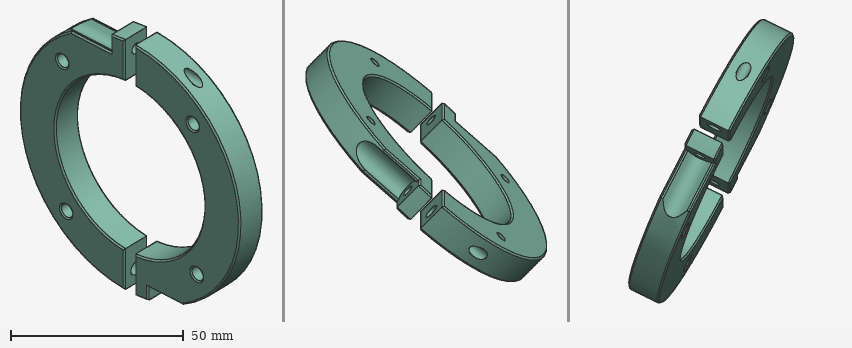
import cadquery as cq
import math


outer_radius = 43.55
inner_radius = 29.35
thickness = 10.0
half_gap = 2.0
edge_chamfer = 0.5

screw_height = 38.2
screw_diameter = 3.5
lug_thickness = 5.3
left_flat_height = 36.85
right_flat_height = screw_height
head_groove_radius = 3.75

insert_diameter = 4.4
insert_depth = 6.0
insert_lead_in = 0.4
mount_hole_diameter = 3.2
mount_circle_radius = (outer_radius + inner_radius) / 2
mount_tilt = 1.75

lug_outer_x = half_gap + lug_thickness
oversize = outer_radius * 2


def block(x_range, z_range):
    """Box spanning the given X and Z ranges, centred on Y and longer than the ring thickness."""
    size_x = x_range[1] - x_range[0]
    size_z = z_range[1] - z_range[0]
    return cq.Workplane("XY").box(size_x, oversize, size_z).translate(
        (x_range[0] + size_x / 2, 0, z_range[0] + size_z / 2)
    )


def rod_along_x(radius, x_start, x_end):
    """Cylinder on the upper screw axis."""
    return (
        cq.Workplane("YZ", origin=(x_start, 0, screw_height))
        .circle(radius)
        .extrude(x_end - x_start)
    )


def half_ring(flat_height):
    """Left half ring with a notch above its lug, chamfered around both flat faces."""
    ring = (
        cq.Workplane("XZ")
        .circle(outer_radius)
        .circle(inner_radius)
        .extrude(thickness / 2, both=True)
    )
    half = ring.intersect(block((-oversize, -half_gap), (-oversize, oversize)))
    half = half.cut(block((-oversize, -lug_outer_x), (flat_height, oversize)))
    return half.faces("<Y or >Y").chamfer(edge_chamfer)


def cut_screw_joints(half):
    """Clearance hole and head groove at the upper lug; insert hole at the plain lower end."""
    half = half.cut(rod_along_x(screw_diameter / 2, -outer_radius, 0))
    half = half.cut(rod_along_x(head_groove_radius, -outer_radius, -lug_outer_x))
    lower_end = rod_along_x(screw_diameter / 2, -outer_radius, 0).union(
        rod_along_x(insert_diameter / 2, -half_gap - insert_depth, 0)
    )
    return half.cut(lower_end.mirror("XY"))


def flare_head_groove(half):
    """Open the head groove with 45-degree sides tangent to its round bottom."""
    tangent = head_groove_radius / math.sqrt(2)
    apex_depth = head_groove_radius * math.sqrt(2)
    flare = (
        cq.Workplane("YZ", origin=(-outer_radius, 0, screw_height))
        .polyline([
            (-apex_depth, 0),
            (-tangent, -tangent),
            (tangent, -tangent),
            (apex_depth, 0),
        ])
        .close()
        .extrude(outer_radius - lug_outer_x)
    )
    return half.cut(flare)


def mount_hole_cutter(angle):
    """Through hole with an insert bore and lead-in from the -Y face, at an angle in the XZ plane."""
    x = mount_circle_radius * math.cos(math.radians(angle))
    z = mount_circle_radius * math.sin(math.radians(angle))
    bore_radius = insert_diameter / 2
    pilot_radius = mount_hole_diameter / 2
    front = -thickness / 2
    return (
        cq.Workplane("XY")
        .polyline([
            (0, front),
            (bore_radius + insert_lead_in, front),
            (bore_radius, front + insert_lead_in),
            (bore_radius, front + insert_depth),
            (pilot_radius, front + insert_depth),
            (pilot_radius, -front),
            (0, -front),
        ])
        .close()
        .revolve(360, (0, 0, 0), (0, 1, 0))
        .translate((x, 0, z))
    )


def cut_mount_holes(half, angles):
    for angle in angles:
        half = half.cut(mount_hole_cutter(angle + mount_tilt))
    return half


left_half = cut_screw_joints(half_ring(left_flat_height))
left_half = flare_head_groove(left_half)
left_half = cut_mount_holes(left_half, (135, 225))

right_half = cut_screw_joints(half_ring(right_flat_height)).rotate((0, 0, 0), (0, 1, 0), 180)
right_half = cut_mount_holes(right_half, (45, 315))

result = cq.Compound.makeCompound([left_half.val(), right_half.val()])